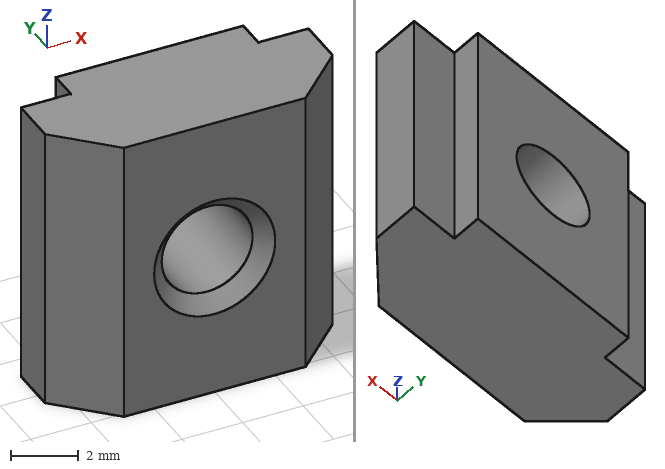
import cadquery as cq

width = 9.5
length = 9.5
depth = 4.3

tongue_width = 6.19
tongue_height = 1.0
front_flat_width = 6.0
bevel_depth = 1.7

hole_diameter = 3.0
countersink_diameter = 4.0
countersink_angle = 90.0

front_y = -depth / 2
back_y = depth / 2
bevel_y = front_y + bevel_depth
shoulder_y = back_y - tongue_height


def nut_body():
    """Extrude the symmetric cross-section along Z."""
    half_outline = [
        (0, front_y),
        (front_flat_width / 2, front_y),
        (width / 2, bevel_y),
        (width / 2, shoulder_y),
        (tongue_width / 2, shoulder_y),
        (tongue_width / 2, back_y),
        (0, back_y),
    ]
    return (
        cq.Workplane("XY")
        .polyline(half_outline)
        .mirrorY()
        .extrude(length / 2, both=True)
    )


def add_countersunk_hole(body):
    """Cut the central hole, entering from the front face."""
    return (
        body.faces("<Y")
        .workplane(centerOption="CenterOfBoundBox")
        .cskHole(hole_diameter, countersink_diameter, countersink_angle)
    )


result = add_countersunk_hole(nut_body())